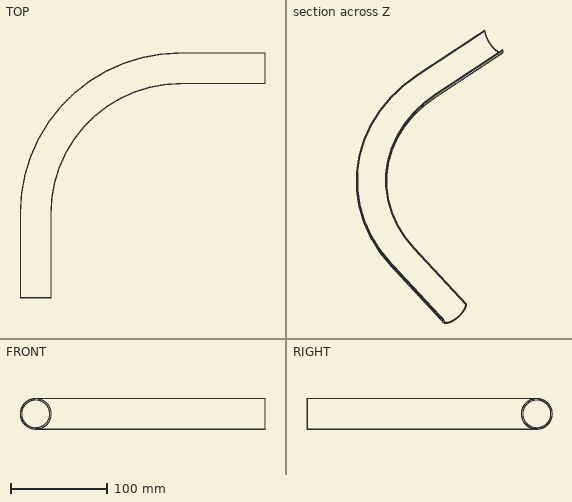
import cadquery as cq

outer_diameter = 32.0
wall_thickness = 1.57
bend_radius = 150.0
leg_length = 88.0
bend_angle = 90.0

outer_radius = outer_diameter / 2
inner_radius = outer_radius - wall_thickness


def make_straight_leg():
    """Tube leg along +X, starting at the end of the bend."""
    return (
        cq.Workplane("YZ")
        .circle(outer_radius)
        .circle(inner_radius)
        .extrude(leg_length)
    )


def make_bend():
    """Quarter-turn tube from the -X side of the bend centre to its +Y side."""
    return (
        cq.Workplane("XZ")
        .center(-bend_radius, 0)
        .circle(outer_radius)
        .circle(inner_radius)
        .revolve(bend_angle, (bend_radius, 0), (bend_radius, -1))
    )


x_leg = make_straight_leg().translate((0, bend_radius, 0))
y_leg = make_straight_leg().rotate((0, 0, 0), (0, 0, 1), -bend_angle).translate((-bend_radius, 0, 0))

result = make_bend().union(x_leg).union(y_leg)